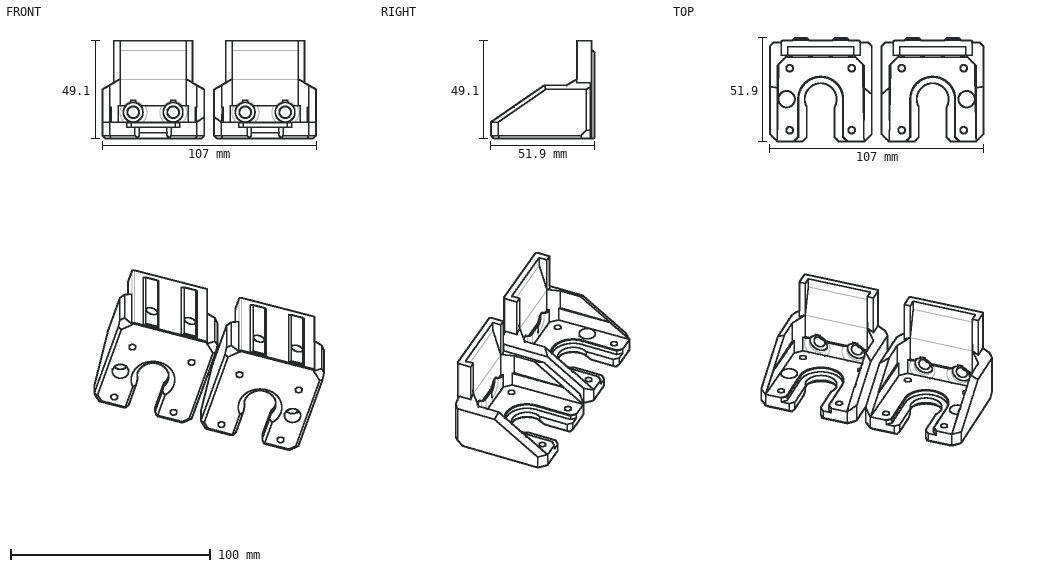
import cadquery as cq
import math

overall_length = 107.0
overall_height = 49.1

outer_side_x = 25.5
inner_side_x = 25.7
front_y = -21.2
wing_back_y = 28.5
front_corner_chamfer = 3.7
back_corner_chamfer = 1.9
bottom_chamfer = 1.6
back_bottom_corner_z = 4.2

floor_z = 8.3
cavity_half_width = 21.7
cavity_back_y = 21.9
back_wall_half_width = 16.6

roof_ridge_z = 29.9
roof_slope = math.tan(math.radians(30))
front_slope = 0.69

wall_step_z = 15.8
wall_step = 0.7

upright_half_width = 19.8
upright_back_y = 29.4
upright_fillet = upright_back_y - wing_back_y
upright_bottom_chamfer = 0.4
pocket_back_y = 26.2
pocket_taper_top_z = 44.3

rib_base_width = 8.2
rib_height = 1.3
rib_taper = 1.1
rib_top_z = 44.3

bolt_spacing = 20.0
bolt_z = 13.3
bolt_hole_d = 5.8
bolt_head_d = 9.8
bolt_head_floor_y = 24.5
bolt_pad_front_y = 21.0
bolt_pad_top_z = 16.5
bolt_pad_half_width = back_wall_half_width + cavity_back_y - bolt_pad_front_y
bolt_mouth_y = 22.8
bolt_notch_width = 2.4
bolt_notch_depth = 1.1

motor_hole_d = 15.8
motor_slot_width = 13.7
motor_cone_z = 3.0
motor_screw_spacing = 31.0
motor_screw_d = 3.3
recess_d = 22.1
recess_z = 5.8
recess_lip = 0.3
mouth_chamfer = 2.2

rod_x = -17.0
rod_d = 8.1

clearance = 10.7


def prism(points, z_low, z_high):
    """Vertical prism over a plan outline."""
    return cq.Workplane("XY").workplane(offset=z_low).polyline(points).close().extrude(z_high - z_low)


def box(x_low, x_high, y_low, y_high, z_low, z_high):
    size = (x_high - x_low, y_high - y_low, z_high - z_low)
    return cq.Workplane("XY").box(*size, centered=False).translate((x_low, y_low, z_low))


def above_plane(origin, x_direction, normal):
    """Large block on the side of a plane that the normal points to."""
    plane = cq.Plane(origin, x_direction, normal)
    return cq.Workplane(plane).rect(2 * overall_length, 2 * overall_length).extrude(overall_length)


def outer_block():
    """Chamfered block under a roof that falls away to both sides."""
    roof = [
        (-outer_side_x, 0),
        (inner_side_x, 0),
        (inner_side_x, roof_ridge_z - roof_slope * (inner_side_x - back_wall_half_width)),
        (back_wall_half_width, roof_ridge_z),
        (-back_wall_half_width, roof_ridge_z),
        (-outer_side_x, roof_ridge_z - roof_slope * (outer_side_x - back_wall_half_width)),
    ]
    back_plane = cq.Workplane("XZ").workplane(offset=-wing_back_y)
    block = back_plane.polyline(roof).close().extrude(wing_back_y - front_y)
    block = block.edges("|Z and <Y").chamfer(front_corner_chamfer)
    block = block.edges("|Z and >Y").chamfer(back_corner_chamfer)
    block = block.faces("<Z").edges("not >Y").chamfer(bottom_chamfer)
    for side, side_x in ((-1, -outer_side_x), (1, inner_side_x)):
        corner = (side_x, wing_back_y - back_corner_chamfer, back_bottom_corner_z)
        block = block.cut(above_plane(corner, (1, -side, 0), (side, 1, -1)))
    return block


def cavity_prism(back_half_width, back_y, z_low, z_high):
    """Space between the side walls, open at the front, with 45 degree back corners."""
    front = front_y - clearance
    corner_y = back_y - (cavity_half_width - back_half_width)
    outline = [
        (-cavity_half_width, front),
        (cavity_half_width, front),
        (cavity_half_width, corner_y),
        (back_half_width, back_y),
        (-back_half_width, back_y),
        (-cavity_half_width, corner_y),
    ]
    return prism(outline, z_low, z_high)


def cavity():
    """Space in front of the bolt pad and the slightly deeper space above the pad."""
    lower = cavity_prism(bolt_pad_half_width, bolt_pad_front_y, floor_z, bolt_pad_top_z)
    upper = cavity_prism(back_wall_half_width, cavity_back_y, bolt_pad_top_z, overall_height)
    return lower.union(upper)


def wall_step_wedge(side):
    """Lower part of a side wall, thicker at the back and fading out at the front."""
    wall_x = side * cavity_half_width
    corner_y = bolt_pad_front_y - (cavity_half_width - bolt_pad_half_width)
    outline = [
        (wall_x, front_y),
        (wall_x, corner_y),
        (wall_x - side * wall_step, corner_y + wall_step),
    ]
    return prism(outline, floor_z, wall_step_z)


def sloped_fronts(body):
    """Slope both side walls down to the floor; the outer one also falls outwards."""
    foot = (-cavity_half_width, front_y, floor_z)
    body = body.cut(above_plane(foot, (1, 0, 0), (0, -front_slope, 1)))
    return body.cut(above_plane(foot, (1, -1, 0), (-front_slope, -front_slope, 1)))


def upright():
    """Back plate with rounded back edges and a tapered pocket in its front."""
    plate = box(-upright_half_width, upright_half_width, cavity_back_y, upright_back_y, 0, overall_height)
    plate = plate.edges("|Z and >Y").fillet(upright_fillet)
    plate = plate.faces("<Z").edges(">Y").chamfer(upright_bottom_chamfer)
    pocket_profile = [
        (cavity_back_y, roof_ridge_z),
        (pocket_back_y, pocket_taper_top_z),
        (pocket_back_y, overall_height),
        (cavity_back_y, overall_height),
    ]
    pocket = cq.Workplane("YZ").polyline(pocket_profile).close().extrude(back_wall_half_width, both=True)
    return plate.cut(pocket)


def rib(x):
    """Vertical rib with sloped sides and a sloped top end."""
    half_base = rib_base_width / 2
    half_crest = half_base - rib_taper
    crest_y = upright_back_y + rib_height
    outline = [
        (x - half_base, upright_back_y),
        (x + half_base, upright_back_y),
        (x + half_crest, crest_y),
        (x - half_crest, crest_y),
    ]
    body = prism(outline, 0, rib_top_z)
    body = body.faces(">Y").edges(">Z").chamfer(rib_taper)
    return body.faces(">Y").edges("<Z").chamfer(upright_bottom_chamfer)


def head_cut(front):
    """Bolt hole and head counterbore whose mouth is rounded out to the given front face."""
    head_r = bolt_head_d / 2
    mouth_r = bolt_mouth_y - front
    arc_x = head_r + mouth_r * (1 - math.sqrt(0.5))
    arc_y = bolt_mouth_y - mouth_r * math.sqrt(0.5)
    return (
        cq.Workplane("XY")
        .moveTo(0, front)
        .lineTo(head_r + mouth_r, front)
        .threePointArc((arc_x, arc_y), (head_r, bolt_mouth_y))
        .lineTo(head_r, bolt_head_floor_y)
        .lineTo(bolt_hole_d / 2, bolt_head_floor_y)
        .lineTo(bolt_hole_d / 2, upright_back_y + clearance)
        .lineTo(0, upright_back_y + clearance)
        .close()
        .revolve(360, (0, 0, 0), (0, 1, 0))
        .translate((0, 0, bolt_z))
    )


def bolt_notch():
    """Small ramp in the mouth, at the top of the counterbore."""
    head_top_z = bolt_z + bolt_head_d / 2
    profile = [
        (cavity_back_y, bolt_z),
        (cavity_back_y, head_top_z + bolt_notch_depth),
        (cavity_back_y + bolt_notch_depth, head_top_z),
        (cavity_back_y + bolt_notch_depth, bolt_z),
    ]
    return cq.Workplane("YZ").polyline(profile).close().extrude(bolt_notch_width / 2, both=True)


def bolt_cut():
    """Counterbored hole, with one mouth rounding on the pad and a smaller one on the wall above it."""
    above_pad = box(-bolt_head_d, bolt_head_d, front_y, upright_back_y, bolt_pad_top_z, overall_height)
    wall_mouth = head_cut(cavity_back_y).intersect(above_pad)
    return head_cut(bolt_pad_front_y).union(wall_mouth).union(bolt_notch())


def keyhole_outline(plane, diameter, width):
    """Arc around the motor axis that runs on into a slot open at the front, with a flared mouth."""
    half = width / 2
    radius = diameter / 2
    join_y = -math.sqrt(radius**2 - half**2)
    flare_y = front_y + mouth_chamfer
    return (
        plane.moveTo(half + mouth_chamfer, front_y)
        .lineTo(half, flare_y)
        .lineTo(half, join_y)
        .threePointArc((0, radius), (-half, join_y))
        .lineTo(-half, flare_y)
        .lineTo(-half - mouth_chamfer, front_y)
        .close()
    )


def motor_cuts():
    """Keyhole through the floor, the flange recess with its chamfered lip above it and the cone below it."""
    low_plane = cq.Workplane("XY")
    keyhole = keyhole_outline(low_plane, motor_hole_d, motor_slot_width).extrude(floor_z)
    recess_plane = cq.Workplane("XY").workplane(offset=recess_z)
    recess = keyhole_outline(recess_plane, recess_d, recess_d).extrude(floor_z - recess_z)
    cone = cq.Workplane("XY").circle(motor_hole_d / 2 + motor_cone_z).extrude(motor_cone_z, taper=45)
    lip_plane = cq.Workplane("XY").workplane(offset=floor_z)
    lip_d = recess_d + 2 * recess_lip
    lip = keyhole_outline(lip_plane, lip_d, lip_d).extrude(-recess_lip, taper=45)
    return keyhole, recess, lip, cone


def slot_bottom_chamfer():
    """Chamfers along both bottom edges of the motor slot."""
    half = motor_slot_width / 2
    profile = [
        (-half - bottom_chamfer, 0),
        (half + bottom_chamfer, 0),
        (half, bottom_chamfer),
        (-half, bottom_chamfer),
    ]
    return cq.Workplane("XZ").polyline(profile).close().extrude(-front_y)


def bracket():
    bolt_xs = (-bolt_spacing / 2, bolt_spacing / 2)
    body = outer_block().cut(cavity())
    for side in (-1, 1):
        body = body.union(wall_step_wedge(side))
    body = sloped_fronts(body)
    body = body.union(upright())
    for x in bolt_xs:
        body = body.union(rib(x)).cut(bolt_cut().translate((x, 0, 0)))
    for cutter in motor_cuts():
        body = body.cut(cutter)
    body = body.cut(slot_bottom_chamfer())
    screws = cq.Workplane("XY").rarray(motor_screw_spacing, motor_screw_spacing, 2, 2)
    body = body.cut(screws.circle(motor_screw_d / 2).extrude(floor_z))
    rod = cq.Workplane("XY").center(rod_x, 0).circle(rod_d / 2).extrude(floor_z)
    return body.cut(rod)


motor_axis_x = overall_length / 2 - outer_side_x
left_bracket = bracket().translate((-motor_axis_x, 0, 0))
right_bracket = left_bracket.mirror("YZ")

result = cq.Compound.makeCompound([left_bracket.val(), right_bracket.val()])